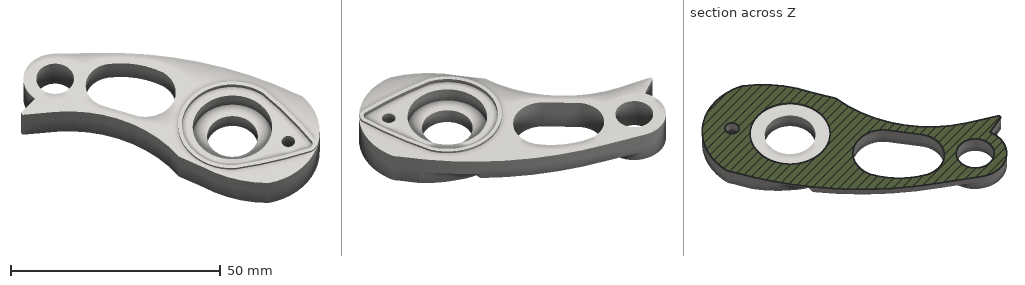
import cadquery as cq
import math


plate_height = 7.95
rim_height = 0.55
rim_top = plate_height + rim_height
rim_pocket_depth = 1.0
counterbore_depth = 3.6
arm_relief_height = 2.5
head_relief_height = 3.8

bore_radius = 6.05
counterbore_radius = 9.5
pin_radius = 1.6
pin_offset = 9.9

rim_radius = 13.0
rim_width = 0.95
rim_shoulder = (-5.55, 11.7)
rim_side_middle = (5.1, 14.3)
rim_tip = (13.1, 15.5)
rim_tip_radius = 2.45

pivot = (-32.1, -31.0)
pivot_hole_radius = 4.5
pivot_boss_radius = 7.55

upper_end = (-18.5, -13.5)
upper_end_radius = 7.05
lower_end = (-24.25, -19.75)
lower_end_radius = 6.25
window_bulge = (-27.2, -12.1)
window_side_upper = (-13.05, -18.55)
window_side_lower = (-19.4, -24.3)

head_center = 3.7
head_radius = 15.9
head_left = (-1.55, 18.0)
head_top = (-0.2, 19.0)
head_flank_middle = (15.4, -5.5)
head_flank_end = (7.45, -11.95)
neck = (2.1, -15.5)
inner_arc_middle = (-13.05, -21.95)
inner_arc_end = (-23.25, -35.3)
claw_right = (-26.1, -42.75)
claw_tip = (-26.55, -42.95)
claw_left = (-27.0, -42.75)
claw_root = (-29.05, -37.95)
arm_tangent = (-38.8, -27.6)
arm_straight_end = (-34.55, -19.05)
back_arc_middle = (-16.6, 6.1)

bore_wall_radius = 14.1
bore_wall_end_y = -2.95
head_relief_start_y = 6.1
relief_margin = 50.0


def mirrored(point):
    """Reflect a point in the 45 degree line of the head."""
    return (point[1], point[0])


def polar(center, radius, angle):
    return (center[0] + radius * math.cos(angle), center[1] + radius * math.sin(angle))


def prism(wire, bottom, top):
    return wire.extrude(top - bottom).translate((0, 0, bottom))


def cylinder(center, radius, bottom, top):
    return prism(cq.Workplane("XY").center(*center).circle(radius), bottom, top)


head_far_point = polar((head_center, head_center), head_radius, math.radians(45))
pivot_far_point = polar(pivot, pivot_boss_radius, math.radians(225))


def make_plate():
    outline = (
        cq.Workplane("XY")
        .moveTo(*head_top)
        .threePointArc(head_far_point, mirrored(head_top))
        .threePointArc(head_flank_middle, head_flank_end)
        .lineTo(*neck)
        .threePointArc(inner_arc_middle, inner_arc_end)
        .lineTo(*claw_right)
        .threePointArc(claw_tip, claw_left)
        .lineTo(*claw_root)
        .threePointArc(pivot_far_point, arm_tangent)
        .lineTo(*arm_straight_end)
        .threePointArc(back_arc_middle, head_left)
        .close()
    )
    return prism(outline, 0, plate_height)


def teardrop():
    """Outer outline of the rim: a round back, two bowed sides and a round tip."""
    tip_center = rim_tip[1] - rim_tip_radius
    tip_point = polar((tip_center, tip_center), rim_tip_radius, math.radians(45))
    back_point = polar((0, 0), rim_radius, math.radians(225))
    return (
        cq.Workplane("XY")
        .moveTo(*rim_shoulder)
        .threePointArc(rim_side_middle, rim_tip)
        .threePointArc(tip_point, mirrored(rim_tip))
        .threePointArc(mirrored(rim_side_middle), mirrored(rim_shoulder))
        .threePointArc(back_point, rim_shoulder)
        .close()
    )


def make_window():
    """Straight on the inner side, bowed outward on the back side."""
    upper_start_angle = math.radians(118)
    lower_start_angle = math.radians(163)
    outline = (
        cq.Workplane("XY")
        .moveTo(*polar(upper_end, upper_end_radius, upper_start_angle))
        .threePointArc(
            polar(upper_end, upper_end_radius, math.radians(30)),
            window_side_upper,
        )
        .lineTo(*window_side_lower)
        .threePointArc(
            polar(lower_end, lower_end_radius, math.radians(225)),
            polar(lower_end, lower_end_radius, lower_start_angle),
        )
        .threePointArc(window_bulge, polar(upper_end, upper_end_radius, upper_start_angle))
        .close()
    )
    return prism(outline, 0, plate_height)


def make_lower_head():
    """Full-height core of the head, left standing by the relief."""
    core = (
        cq.Workplane("XY")
        .moveTo(*head_top)
        .threePointArc(head_far_point, mirrored(head_top))
        .threePointArc(head_flank_middle, head_flank_end)
        .lineTo(*mirrored(head_flank_end))
        .threePointArc(mirrored(head_flank_middle), head_top)
        .close()
    )
    bore_wall = cylinder((0, 0), bore_wall_radius, 0, head_relief_height)
    return prism(core, 0, head_relief_height).union(bore_wall)


def make_relief():
    """Cut-away of the underside between the back edge, the head core and the window."""
    wall_angle = math.pi - math.asin(bore_wall_end_y / bore_wall_radius)
    wall_start = polar((0, 0), bore_wall_radius, wall_angle)
    wall_direction = wall_angle + math.radians(90)
    wall_length = math.dist(wall_start, upper_end)
    wall_end = polar(wall_start, wall_length, wall_direction)
    arm_region = (
        cq.Workplane("XY")
        .polyline([(0, 0), wall_start, wall_end, lower_end, pivot])
        .lineTo(-relief_margin, pivot[1])
        .lineTo(-relief_margin, relief_margin)
        .lineTo(0, relief_margin)
        .close()
    )
    head_region = (
        cq.Workplane("XY")
        .moveTo(-relief_margin, head_relief_start_y)
        .lineTo(0, head_relief_start_y)
        .lineTo(0, relief_margin)
        .lineTo(-relief_margin, relief_margin)
        .close()
    )
    boss = cylinder(pivot, pivot_boss_radius, 0, arm_relief_height)
    relief = prism(arm_region, 0, arm_relief_height)
    relief = relief.union(prism(head_region, 0, head_relief_height))
    return relief.cut(make_lower_head()).cut(boss)


pocket_floor = rim_top - rim_pocket_depth
counterbore_floor = pocket_floor - counterbore_depth

result = make_plate().cut(make_relief())
result = result.union(prism(teardrop(), plate_height, rim_top))
result = result.cut(prism(teardrop().offset2D(-rim_width), pocket_floor, rim_top))
result = result.cut(cylinder((0, 0), counterbore_radius, counterbore_floor, rim_top))
result = result.cut(cylinder((0, 0), bore_radius, 0, rim_top))
result = result.cut(cylinder((pin_offset, pin_offset), pin_radius, 0, rim_top))
result = result.cut(cylinder(pivot, pivot_hole_radius, 0, plate_height))
result = result.cut(make_window())